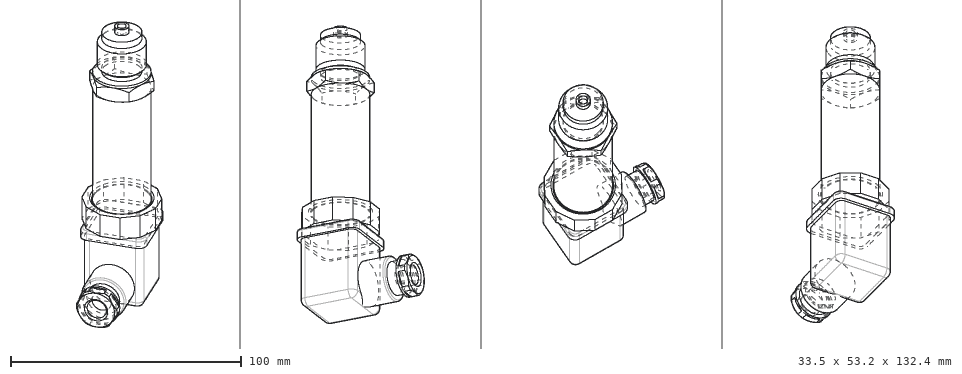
import cadquery as cq
import math

TOTAL_HEIGHT = 132.4
NECK_TOP = 129.4
THREAD_TOP = 124.6
THREAD_BOTTOM = 113.2
HEX_COLLAR_TOP = 109.6
HEX_TOP = 108.5
HEX_BOTTOM = 101.5
NUT_TOP = 46.2
NUT_BOTTOM = 35.4
FLANGE_BOTTOM = 31.1

STUB_DIAMETER = 6.2
PORT_DIAMETER = 3.8
PORT_DEPTH = TOTAL_HEIGHT - NECK_TOP
NECK_DIAMETER = 17.5
THREAD_DIAMETER = 21.3
THREAD_CHAMFER_HEIGHT = 1.6

TUBE_DIAMETER = 25.4
HEX_SIDES = 6
HEX_CHAMFER_ANGLE = 30

NUT_SIDES = 12
NUT_ACROSS_FLATS = 33.5
NUT_COUNTERSINK_DIAMETER = 28.0
NUT_COUNTERSINK_DEPTH = 0.8

FLANGE_WIDTH = 29.9
FLANGE_CORNER_RADIUS = 3.7
FLANGE_TOP_FILLET = 0.9
BOX_WIDTH = 27.0
BOX_CORNER_RADIUS = 3.0
BOX_BOTTOM_FILLET = 2.9

OVERALL_DEPTH = 53.2
OUTLET_DIAMETER = 20.1
OUTLET_AXIS_HEIGHT = OUTLET_DIAMETER / 2
OUTLET_END = 26.2
OUTLET_FILLET = 0.7
GLAND_NECK_DIAMETER = 15.0
GLAND_DIAMETER = 18.4
GLAND_START = 31.5
GLAND_FLATS_START = 32.7
GLAND_END = OVERALL_DEPTH - NUT_ACROSS_FLATS / 2
GLAND_ACROSS_FLATS = 17.1
GLAND_CHAMFER = 0.8
CABLE_HOLE_DIAMETER = 8.7
CABLE_HOLE_CHAMFER = 0.9
CABLE_HOLE_DEPTH = 8.0


def cylinder(diameter, bottom, top):
    """Vertical cylinder on the main axis between two heights."""
    return cq.Workplane("XY").workplane(offset=bottom).circle(diameter / 2).extrude(top - bottom)


def prism(sides, across_flats, bottom, top):
    """Regular vertical prism on the main axis, with a corner on +X."""
    corner_diameter = across_flats / math.cos(math.pi / sides)
    return cq.Workplane("XY").workplane(offset=bottom).polygon(sides, corner_diameter).extrude(top - bottom)


def outlet_cylinder(diameter, start, end):
    """Cylinder on the outlet axis between two distances toward -Y."""
    plane = cq.Workplane("XZ", origin=(0, -start, OUTLET_AXIS_HEIGHT))
    return plane.circle(diameter / 2).extrude(end - start)


def rounded_block(width, corner_radius, bottom, top):
    """Square block on the main axis with rounded vertical edges."""
    block = cq.Workplane("XY").workplane(offset=bottom).rect(width, width).extrude(top - bottom)
    return block.edges("|Z").fillet(corner_radius)


def countersink(mouth, mouth_diameter, depth):
    """Cone narrowing at 45 degrees from the mouth workplane into the material behind it."""
    return (
        mouth.circle(mouth_diameter / 2)
        .workplane(offset=-depth)
        .circle(mouth_diameter / 2 - depth)
        .loft()
    )


def pressure_connection():
    """Turned neck, thread and stub with a blind port in the top."""
    neck_radius = NECK_DIAMETER / 2
    thread_radius = THREAD_DIAMETER / 2
    stub_radius = STUB_DIAMETER / 2
    profile = [
        (0, HEX_TOP),
        (neck_radius, HEX_TOP),
        (neck_radius, THREAD_BOTTOM - THREAD_CHAMFER_HEIGHT),
        (thread_radius, THREAD_BOTTOM),
        (thread_radius, THREAD_TOP),
        (neck_radius, THREAD_TOP + THREAD_CHAMFER_HEIGHT),
        (neck_radius, NECK_TOP),
        (stub_radius, NECK_TOP),
        (stub_radius, TOTAL_HEIGHT),
        (0, TOTAL_HEIGHT),
    ]
    body = cq.Workplane("XZ").polyline(profile).close().revolve(360, (0, 0), (0, 1))
    return body.cut(cylinder(PORT_DIAMETER, TOTAL_HEIGHT - PORT_DEPTH, TOTAL_HEIGHT))


def upper_hexagon():
    """Hexagon with turned corners under a thin round collar."""
    flat_radius = TUBE_DIAMETER / 2
    corner_radius = flat_radius / math.cos(math.pi / HEX_SIDES)
    drop = (corner_radius - flat_radius) * math.tan(math.radians(HEX_CHAMFER_ANGLE))
    turned_profile = [
        (0, HEX_BOTTOM),
        (flat_radius, HEX_BOTTOM),
        (corner_radius, HEX_BOTTOM + drop),
        (corner_radius, HEX_TOP - drop),
        (flat_radius, HEX_TOP),
        (0, HEX_TOP),
    ]
    turned = cq.Workplane("XZ").polyline(turned_profile).close().revolve(360, (0, 0), (0, 1))
    hexagon = prism(HEX_SIDES, TUBE_DIAMETER, HEX_BOTTOM, HEX_TOP).intersect(turned)
    return hexagon.union(cylinder(TUBE_DIAMETER, HEX_TOP, HEX_COLLAR_TOP))


def union_nut():
    """Nut with flats facing X and Y and a flat-floored recess around the tube."""
    half_side_angle = 180 / NUT_SIDES
    nut = prism(NUT_SIDES, NUT_ACROSS_FLATS, NUT_BOTTOM, NUT_TOP)
    nut = nut.rotate((0, 0, 0), (0, 0, 1), half_side_angle)
    mouth = cq.Workplane("XY", origin=(0, 0, NUT_TOP))
    return nut.cut(countersink(mouth, NUT_COUNTERSINK_DIAMETER, NUT_COUNTERSINK_DEPTH))


def housing():
    """Square box under a wider flange."""
    flange = rounded_block(FLANGE_WIDTH, FLANGE_CORNER_RADIUS, FLANGE_BOTTOM, NUT_BOTTOM)
    flange = flange.faces(">Z").edges().fillet(FLANGE_TOP_FILLET)
    box = rounded_block(BOX_WIDTH, BOX_CORNER_RADIUS, 0, FLANGE_BOTTOM)
    box = box.faces("<Z").edges().fillet(BOX_BOTTOM_FILLET)
    return flange.union(box)


def cable_outlet():
    """Barrel, neck and gland along the outlet axis."""
    barrel = outlet_cylinder(OUTLET_DIAMETER, 0, OUTLET_END).faces("<Y").edges().fillet(OUTLET_FILLET)
    neck = outlet_cylinder(GLAND_NECK_DIAMETER, OUTLET_END, GLAND_START)
    collar = outlet_cylinder(GLAND_DIAMETER, GLAND_START, GLAND_FLATS_START)
    head = outlet_cylinder(GLAND_DIAMETER, GLAND_FLATS_START, GLAND_END)
    head = head.faces("<Y").edges().chamfer(GLAND_CHAMFER)
    flats = (
        cq.Workplane("XZ", origin=(0, -GLAND_FLATS_START, OUTLET_AXIS_HEIGHT))
        .polygon(HEX_SIDES, GLAND_ACROSS_FLATS / math.cos(math.pi / HEX_SIDES))
        .extrude(GLAND_END - GLAND_FLATS_START)
    )
    return barrel.union(neck).union(collar).union(head.intersect(flats))


def cable_hole():
    """Blind hole with a chamfered mouth at the end of the gland."""
    hole = outlet_cylinder(CABLE_HOLE_DIAMETER, GLAND_END - CABLE_HOLE_DEPTH, GLAND_END)
    mouth_diameter = CABLE_HOLE_DIAMETER + 2 * CABLE_HOLE_CHAMFER
    mouth = cq.Workplane("XZ", origin=(0, -GLAND_END, OUTLET_AXIS_HEIGHT))
    return hole.union(countersink(mouth, mouth_diameter, CABLE_HOLE_CHAMFER))


result = (
    housing()
    .union(cable_outlet())
    .cut(cable_hole())
    .union(union_nut())
    .union(cylinder(TUBE_DIAMETER, NUT_BOTTOM, HEX_BOTTOM))
    .union(upper_hexagon())
    .union(pressure_connection())
)